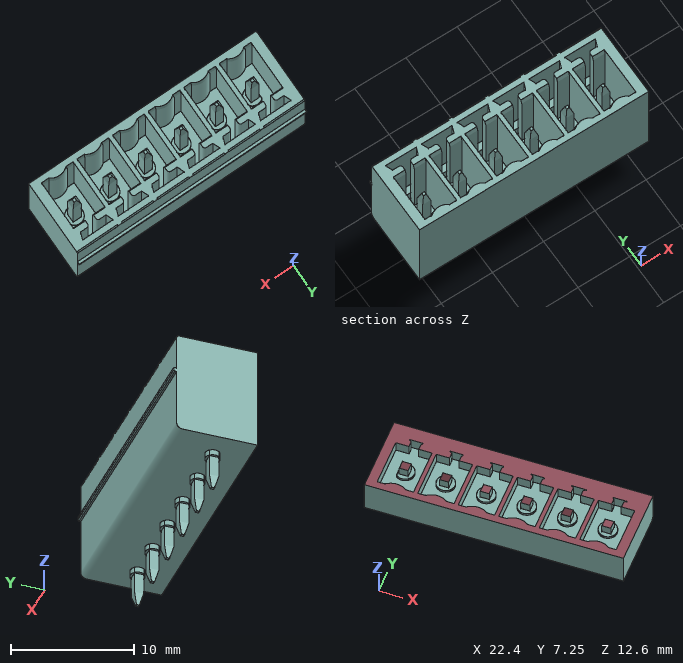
import cadquery as cq

pole_count = 6
pitch = 3.5

length = 22.4
depth = 7.0
height = 9.2
first_pole_x = (length - (pole_count - 1) * pitch) / 2
bottom_edge_radius = 0.5

divider = 0.4
cell_width = pitch - divider
cell_front = 0.7
cell_back = 5.0
cell_floor = 2.0

lead_in_run = 0.15
lead_in_drop = 0.5

key_radius = 1.43
key_peak_y = 1.02

latch_front = 5.7
latch_back = 6.35
latch_front_width = 2.5
latch_back_width = 3.0
latch_floor = 3.0
passage_width = 0.8
passage_corner_radius = 0.25

rear_chamfer = 0.12
rib_projection = 0.25
rib_bottom = 5.6
rib_height = 0.35
rib_edge_chamfer = 0.1

pin_y = 3.0
boss_radius = 0.8
boss_height = 0.2
first_boss_flat = 0.55
standoff_diameter = 1.25
standoff_height = 0.5

pin_width = 0.8
pin_tip_width = 0.27
pin_bottom = -3.4
pin_top = 8.0
pin_taper = 1.0

pole_xs = [first_pole_x + index * pitch for index in range(pole_count)]


def box(x_min, x_max, y_min, y_max, z_min, z_max):
    """Axis-aligned box between two opposite corners."""
    return (
        cq.Workplane("XY")
        .box(x_max - x_min, y_max - y_min, z_max - z_min, centered=False)
        .translate((x_min, y_min, z_min))
    )


def make_block():
    """Plain block with a rounded lower rear edge and a rib along the rear wall."""
    block = box(0, length, 0, depth, 0, height)
    block = block.edges("|X and >Y and <Z").fillet(bottom_edge_radius)
    rib_top = rib_bottom + rib_height
    rib = box(0, length, depth - rib_projection, depth + rib_projection, rib_bottom, rib_top)
    rib = rib.edges("|X and >Y and <Z").chamfer(rib_edge_chamfer)
    return block.union(rib)


def make_rear_chamfer(x_min, x_max):
    """Wedge that bevels a stretch of the upper rear edge."""
    return (
        cq.Workplane("YZ", origin=(x_min, 0, 0))
        .moveTo(depth, height)
        .lineTo(depth - rear_chamfer, height)
        .lineTo(depth, height - rear_chamfer)
        .close()
        .extrude(x_max - x_min)
    )


def make_cell(x):
    """Plug cell with a bevelled mouth along its front and rear walls, less its key."""
    bevel_bottom = height - lead_in_drop
    profile = (
        cq.Workplane("YZ", origin=(x - cell_width / 2, 0, 0))
        .moveTo(cell_front, cell_floor)
        .lineTo(cell_back, cell_floor)
        .lineTo(cell_back, bevel_bottom)
        .lineTo(cell_back + lead_in_run, height)
        .lineTo(cell_front - lead_in_run, height)
        .lineTo(cell_front, bevel_bottom)
        .close()
    )
    return profile.extrude(cell_width).cut(make_key(x))


def make_key(x):
    """Upright half-round key whose top narrows to follow the bevelled mouth."""
    axis_y = key_peak_y - key_radius
    column_height = height - lead_in_drop - cell_floor
    profile = (
        cq.Workplane("XZ", origin=(x, axis_y, cell_floor))
        .lineTo(key_radius, 0)
        .lineTo(key_radius, column_height)
        .lineTo(key_radius - lead_in_run, column_height + lead_in_drop)
        .lineTo(0, column_height + lead_in_drop)
        .close()
    )
    return profile.revolve(360, (0, 0), (0, 1))


def make_latch_pocket(x):
    """Dovetail pocket that widens toward the rear wall."""
    outline = [
        (x - latch_front_width / 2, latch_front),
        (x + latch_front_width / 2, latch_front),
        (x + latch_back_width / 2, latch_back),
        (x - latch_back_width / 2, latch_back),
    ]
    return cq.Workplane("XY", origin=(0, 0, latch_floor)).polyline(outline).close().extrude(height - latch_floor)


def make_passage(x):
    """Slot from cell to latch pocket, flared where it meets the pocket."""
    half_width = passage_width / 2
    mouth = half_width + passage_corner_radius
    flare_start = latch_front - passage_corner_radius
    flare_offset = passage_corner_radius * (1 - 0.5 ** 0.5)
    return (
        cq.Workplane("XY", origin=(0, 0, cell_floor))
        .moveTo(x - half_width, cell_back)
        .lineTo(x + half_width, cell_back)
        .lineTo(x + half_width, flare_start)
        .threePointArc((x + half_width + flare_offset, latch_front - flare_offset), (x + mouth, latch_front))
        .lineTo(x - mouth, latch_front)
        .threePointArc((x - half_width - flare_offset, latch_front - flare_offset), (x - half_width, flare_start))
        .close()
        .extrude(height - cell_floor)
    )


def make_boss(x, has_flat):
    """Round boss on the cell floor; the flat marks the first pole."""
    boss = cq.Workplane("XY").circle(boss_radius).extrude(boss_height)
    if has_flat:
        boss = boss.intersect(box(-first_boss_flat, boss_radius, -boss_radius, boss_radius, 0, boss_height))
    return boss.translate((x, pin_y, cell_floor))


def make_standoff(x):
    """Short round foot under the housing."""
    return cq.Workplane("XY").center(x, pin_y).circle(standoff_diameter / 2).extrude(-standoff_height)


def make_point(x, base_z, tip_z):
    """Tapered square pin end between its full-width base and its blunt tip."""
    return (
        cq.Workplane("XY", origin=(x, pin_y, base_z))
        .rect(pin_width, pin_width)
        .workplane(offset=tip_z - base_z)
        .rect(pin_tip_width, pin_tip_width)
        .loft(ruled=True)
    )


def make_pin(x):
    """Square pin, pointed at both ends."""
    lower_base = pin_bottom + pin_taper
    upper_base = pin_top - pin_taper
    half_width = pin_width / 2
    shaft = box(x - half_width, x + half_width, pin_y - half_width, pin_y + half_width, lower_base, upper_base)
    return shaft.union(make_point(x, lower_base, pin_bottom)).union(make_point(x, upper_base, pin_top))


def make_housing(pins):
    """Housing with one cell per pole and a matching hole for every pin."""
    housing = make_block()
    for index, x in enumerate(pole_xs):
        is_first = index == 0
        is_last = index == pole_count - 1
        chamfer_start = 0 if is_first else x - cell_width / 2
        chamfer_end = length if is_last else x + cell_width / 2
        housing = housing.cut(make_rear_chamfer(chamfer_start, chamfer_end))
        housing = housing.cut(make_cell(x))
        housing = housing.cut(make_latch_pocket(x)).cut(make_passage(x))
        housing = housing.union(make_boss(x, is_first)).union(make_standoff(x))
    for pin in pins:
        housing = housing.cut(pin)
    return housing


pins = [make_pin(x) for x in pole_xs]
housing = make_housing(pins)

result = cq.Compound.makeCompound([housing.val(), *[pin.val() for pin in pins]])